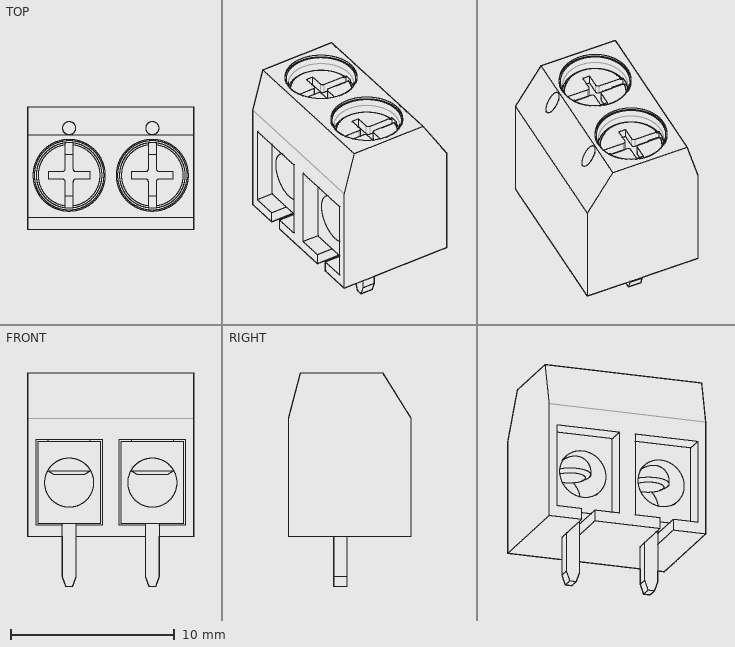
import cadquery as cq


pole_count = 2
pitch = 5.08
housing_width = pole_count * pitch
housing_depth = 7.5
housing_height = 10.0
shoulder_height = 7.23
front_slope_run = 0.73
back_slope_run = 1.73
pole_positions = [(index - (pole_count - 1) / 2) * pitch for index in range(pole_count)]

screw_y = 3.32
recess_rim_radius = 2.2
recess_rim_depth = 0.14
bead_outer_radius = 2.12
screw_well_radius = 2.0
bead_bottom_depth = 0.5
head_radius = 1.88
head_gap_depth = 0.1
head_depth = 0.91
head_z = housing_height - head_depth
slot_width = 0.5
slot_length = 2 * screw_well_radius
slot_depth = 0.5
cross_width = 0.455
cross_length = 2.53
cross_depth = 0.6
cross_corner_radius = 0.16
shank_radius = 1.28
shank_bottom_z = 3.81
shank_tip_radius = 0.95
shank_tip_height = 0.2

window_width = 4.05
window_bottom_z = 0.7
window_top_z = 5.92
clamp_width = 3.8
clamp_bottom_z = 0.8
clamp_top_z = 5.82
clamp_front_y = 1.0
clamp_back_y = 2 * screw_y - clamp_front_y
wire_bore_diameter = 3.0
wire_bore_z = 3.3

pin_width = 0.86
pin_thickness = 0.83
pin_y = 3.18
pin_length = 3.05
pin_taper_length = 0.61
pin_tip_width = 0.42

probe_hole_diameter = 0.8
probe_hole_y = 6.2
probe_hole_floor_z = shoulder_height


def block(x, y_start, y_end, z_start, z_end, width):
    """Box centred on x, between the given y and z limits."""
    box = cq.Workplane("XY").box(width, y_end - y_start, z_end - z_start, centered=(True, False, False))
    return box.translate((x, y_start, z_start))


def make_housing():
    profile = [
        (0, 0),
        (housing_depth, 0),
        (housing_depth, shoulder_height),
        (housing_depth - back_slope_run, housing_height),
        (front_slope_run, housing_height),
        (0, shoulder_height),
    ]
    return cq.Workplane("YZ").polyline(profile).close().extrude(housing_width / 2, both=True)


def make_screw_recess(x):
    """Turned well above the screw head, with a rounded mouth and a narrow gap around the head."""
    rim_z = housing_height - recess_rim_depth
    bead_bottom_z = housing_height - bead_bottom_depth
    gap_z = head_z - head_gap_depth
    return (
        cq.Workplane("XZ")
        .moveTo(0, head_z)
        .lineTo(head_radius, head_z)
        .lineTo(head_radius, gap_z)
        .lineTo(screw_well_radius, gap_z)
        .lineTo(screw_well_radius, bead_bottom_z)
        .tangentArcPoint((bead_outer_radius, rim_z), relative=False)
        .lineTo(recess_rim_radius, rim_z)
        .lineTo(recess_rim_radius, housing_height)
        .lineTo(0, housing_height)
        .close()
        .revolve(360, (0, 0, 0), (0, 1, 0))
        .translate((x, screw_y, 0))
    )


def make_driver_recess(x):
    """Deep cross with rounded inner corners, combined with a longer, shallower straight slot."""
    cross_z = head_z - cross_depth
    slot_z = head_z - slot_depth
    long_arm = block(0, -cross_length / 2, cross_length / 2, cross_z, head_z, slot_width)
    cross_arm = block(0, -cross_width / 2, cross_width / 2, cross_z, head_z, cross_length)
    inner_corners = cq.selectors.BoxSelector(
        (-slot_width, -slot_width, cross_z),
        (slot_width, slot_width, head_z),
    )
    cross = long_arm.union(cross_arm).edges("|Z").edges(inner_corners).fillet(cross_corner_radius)
    slot = block(0, -slot_length / 2, slot_length / 2, slot_z, head_z, slot_width)
    return cross.union(slot).translate((x, screw_y, 0))


def make_wire_entry(x):
    """Window with the clamp cavity behind it, and the slit the pin slides in through."""
    window = block(x, 0, clamp_back_y, window_bottom_z, window_top_z, window_width)
    slit = block(x, 0, pin_y - pin_thickness / 2, 0, window_bottom_z, pin_width)
    return window.union(slit)


def make_clamp(x):
    clamp = block(x, clamp_front_y, clamp_back_y, clamp_bottom_z, clamp_top_z, clamp_width)
    bore = (
        cq.Workplane("XZ")
        .circle(wire_bore_diameter / 2)
        .extrude(-(clamp_back_y - clamp_front_y))
        .translate((x, clamp_front_y, wire_bore_z))
    )
    return clamp.cut(bore)


def make_shank(x):
    """Screw shank from the cavity roof down into the wire bore, with a conical tip."""
    return (
        cq.Workplane("XZ")
        .moveTo(0, shank_bottom_z)
        .lineTo(shank_tip_radius, shank_bottom_z)
        .lineTo(shank_radius, shank_bottom_z + shank_tip_height)
        .lineTo(shank_radius, window_top_z)
        .lineTo(0, window_top_z)
        .close()
        .revolve(360, (0, 0, 0), (0, 1, 0))
        .translate((x, screw_y, 0))
    )


def make_pin(x):
    profile = [
        (-pin_width / 2, clamp_bottom_z),
        (-pin_width / 2, pin_taper_length - pin_length),
        (-pin_tip_width / 2, -pin_length),
        (pin_tip_width / 2, -pin_length),
        (pin_width / 2, pin_taper_length - pin_length),
        (pin_width / 2, clamp_bottom_z),
    ]
    pin = cq.Workplane("XZ").polyline(profile).close().extrude(pin_thickness / 2, both=True)
    return pin.translate((x, pin_y, 0))


def make_probe_hole(x):
    hole = cq.Workplane("XY").circle(probe_hole_diameter / 2).extrude(housing_height - probe_hole_floor_z)
    return hole.translate((x, probe_hole_y, probe_hole_floor_z))


result = make_housing()
for pole_x in pole_positions:
    result = result.cut(make_screw_recess(pole_x))
    result = result.cut(make_driver_recess(pole_x))
    result = result.cut(make_probe_hole(pole_x))
    result = result.cut(make_wire_entry(pole_x))
    result = result.union(make_clamp(pole_x))
    result = result.union(make_shank(pole_x))
    result = result.union(make_pin(pole_x))